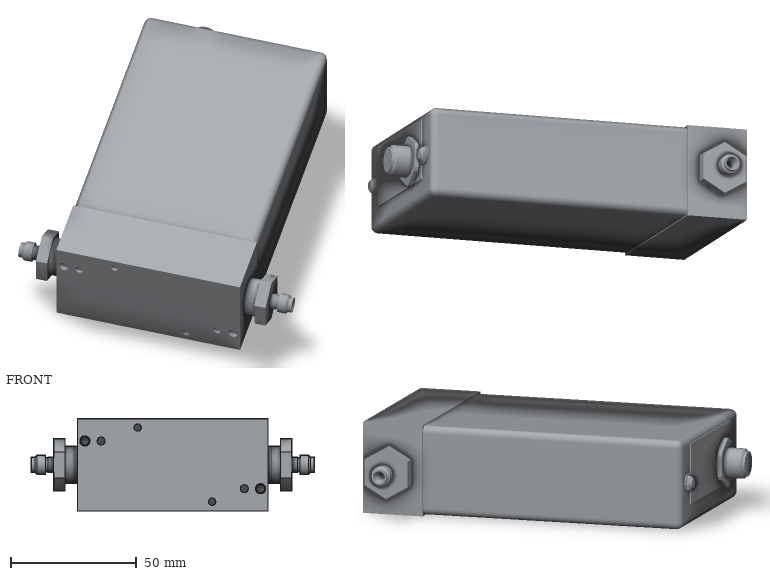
import cadquery as cq
import math

BLOCK_WIDTH = 75.9
BLOCK_DEPTH = 25.0
BLOCK_HEIGHT = 36.9

COVER_SIDE_INSET = 0.3
COVER_TOP_INSET = 0.5
COVER_REAR_Y = 133.0
COVER_ROUNDING = 2.7

THREADED_HOLES = [(-35.0, 9.5), (35.0, -9.5)]
DOWEL_HOLES = [(-28.5, 9.5), (28.5, -9.5)]
SMALL_HOLES = [(-14.0, 14.8), (15.7, -14.7)]
HOLE_DEPTH = 8.6
THREAD_DIAMETER = 4.0
TAPPING_DIAMETER = 3.2
DRILL_TIP_ANGLE = 118
DOWEL_DIAMETER = 3.2
SMALL_DIAMETER = 2.9

FITTING_Y = 12.7
FITTING_LENGTH = 18.5
NECK_RADIUS = 7.5
NECK_END_RADIUS = 7.3
NECK_TAPER_LENGTH = 1.3
FITTING_HEX_START = 4.9
FITTING_HEX_END = 9.5
TUBE_RADIUS = 3.0
GROOVE_RADIUS = 2.9
GROOVE_START = 11.8
COLLAR_START = 12.8
COLLAR_END = 16.1
COLLAR_RADIUS = 3.9
TIP_START = 17.0
BORE_RADIUS = 1.2
BORE_MOUTH_RADIUS = 2.5
BORE_CONE_DEPTH = 4.3
BORE_DEPTH = 8.6

HEX_ACROSS_FLATS = 18.0

PLATE_THICKNESS = 0.6
PLATE_HALF_WIDTH = 26.2
PLATE_TOP_Z = 15.3
PLATE_BOTTOM_Z = -9.4
PLATE_EAR_RADIUS = 3.5

SCREW_X = 30.0
SCREW_RADIUS = 2.9
SCREW_RIM_RADIUS = 1.9
SCREW_KNURL_HEIGHT = 1.3
SCREW_HEAD_HEIGHT = 2.2
KNURL_COUNT = 18
KNURL_DEPTH = 0.3

CONNECTOR_X = -16.0
CONNECTOR_END_Y = 144.0
SHELL_RADIUS = 6.0
SHELL_END_Y = 143.2
SHELL_CHAMFER = 0.7
INSERT_RADIUS = 5.0
NUT_FRONT_Y = 135.7
NUT_CORNER_RADIUS = 10.0
NUT_CHAMFER_RADIAL = 1.2
NUT_CHAMFER_AXIAL = 0.6

PLATE_REAR_Y = COVER_REAR_Y + PLATE_THICKNESS


def rear_plane(x, y):
    """Sketch plane facing +Y whose local y axis is Z and local x axis is -X."""
    return cq.Plane(origin=(x, y, 0), xDir=(-1, 0, 0), normal=(0, 1, 0))


def hexagon_corner_diameter():
    return HEX_ACROSS_FLATS / math.cos(math.pi / 6)


def upright_hexagon(plane, height):
    """Hexagonal prism with two of its corners on the local y axis."""
    prism = cq.Workplane(plane).transformed(rotate=(0, 0, 90))
    return prism.polygon(6, hexagon_corner_diameter()).extrude(height)


def plain_holes(points, diameter):
    sketch = cq.Workplane("XZ").pushPoints(points)
    return sketch.circle(diameter / 2).extrude(-HOLE_DEPTH)


def threaded_hole(x, z):
    """Countersunk tapping hole with a conical drill tip."""
    tap = TAPPING_DIAMETER / 2
    mouth = THREAD_DIAMETER / 2
    tip_length = tap / math.tan(math.radians(DRILL_TIP_ANGLE / 2))
    half_section = [
        (0, 0),
        (mouth, 0),
        (tap, mouth - tap),
        (tap, HOLE_DEPTH),
        (0, HOLE_DEPTH + tip_length),
    ]
    hole = cq.Workplane("XY").polyline(half_section).close()
    return hole.revolve(360, (0, 0), (0, 1)).translate((x, 0, z))


def make_block():
    block = cq.Workplane("XY").box(
        BLOCK_WIDTH, BLOCK_DEPTH, BLOCK_HEIGHT, centered=(True, False, True)
    )
    block = block.cut(plain_holes(DOWEL_HOLES, DOWEL_DIAMETER))
    block = block.cut(plain_holes(SMALL_HOLES, SMALL_DIAMETER))
    for x, z in THREADED_HOLES:
        block = block.cut(threaded_hole(x, z))
    return block


def make_cover():
    cover = cq.Workplane("XY").box(
        BLOCK_WIDTH - 2 * COVER_SIDE_INSET,
        COVER_REAR_Y - BLOCK_DEPTH,
        BLOCK_HEIGHT - 2 * COVER_TOP_INSET,
        centered=(True, False, True),
    )
    cover = cover.translate((0, BLOCK_DEPTH, 0))
    return cover.edges("|Y or >Y").fillet(COVER_ROUNDING)


def make_fitting(side):
    """Tube fitting on the +X (side = 1) or -X (side = -1) face of the block."""
    half_section = [
        (0, 0),
        (0, NECK_END_RADIUS),
        (NECK_TAPER_LENGTH, NECK_RADIUS),
        (FITTING_HEX_START, NECK_RADIUS),
        (FITTING_HEX_START, TUBE_RADIUS),
        (GROOVE_START, TUBE_RADIUS),
        (GROOVE_START, GROOVE_RADIUS),
        (COLLAR_START, GROOVE_RADIUS),
        (COLLAR_START, COLLAR_RADIUS),
        (COLLAR_END, COLLAR_RADIUS),
        (TIP_START, TUBE_RADIUS),
        (FITTING_LENGTH, TUBE_RADIUS),
        (FITTING_LENGTH, BORE_MOUTH_RADIUS),
        (FITTING_LENGTH - BORE_CONE_DEPTH, BORE_RADIUS),
        (FITTING_LENGTH - BORE_DEPTH, BORE_RADIUS),
        (FITTING_LENGTH - BORE_DEPTH, 0),
    ]
    turned = cq.Workplane("XY").polyline(half_section).close().revolve(360, (0, 0), (1, 0))
    hex_plane = cq.Plane(origin=(FITTING_HEX_START, 0, 0), xDir=(0, 1, 0), normal=(1, 0, 0))
    fitting = turned.union(upright_hexagon(hex_plane, FITTING_HEX_END - FITTING_HEX_START))
    if side < 0:
        fitting = fitting.mirror("YZ")
    return fitting.translate((side * BLOCK_WIDTH / 2, FITTING_Y, 0))


def make_plate():
    """Thin rear plate with an ear under each screw and a hole for the connector."""
    plate = (
        cq.Workplane(rear_plane(0, COVER_REAR_Y))
        .center(0, (PLATE_TOP_Z + PLATE_BOTTOM_Z) / 2)
        .rect(2 * PLATE_HALF_WIDTH, PLATE_TOP_Z - PLATE_BOTTOM_Z)
        .extrude(PLATE_THICKNESS)
    )
    ears = (
        cq.Workplane(rear_plane(0, COVER_REAR_Y))
        .slot2D(2 * (SCREW_X + PLATE_EAR_RADIUS), 2 * PLATE_EAR_RADIUS)
        .extrude(PLATE_THICKNESS)
    )
    connector_hole = (
        cq.Workplane(rear_plane(CONNECTOR_X, COVER_REAR_Y)).circle(SHELL_RADIUS).extrude(PLATE_THICKNESS)
    )
    return plate.union(ears).cut(connector_hole)


def make_screw(x):
    """Knurled screw head with a conical top, seated on the plate."""
    outline = []
    for i in range(2 * KNURL_COUNT):
        angle = math.pi * i / KNURL_COUNT
        radius = SCREW_RADIUS - KNURL_DEPTH * (i % 2)
        outline.append((radius * math.cos(angle), radius * math.sin(angle)))
    head = cq.Workplane(rear_plane(x, PLATE_REAR_Y)).polyline(outline).close().extrude(SCREW_KNURL_HEIGHT)
    top_radius = SCREW_RADIUS - KNURL_DEPTH
    top = (
        cq.Workplane(rear_plane(x, PLATE_REAR_Y + SCREW_KNURL_HEIGHT))
        .circle(top_radius)
        .workplane(offset=SCREW_HEAD_HEIGHT - SCREW_KNURL_HEIGHT)
        .circle(SCREW_RIM_RADIUS)
        .loft()
    )
    return head.union(top)


def make_nut():
    """Hexagon nut with rounded corners, chamfered on the side facing the plate."""
    thickness = NUT_FRONT_Y - PLATE_REAR_Y
    plane = rear_plane(CONNECTOR_X, PLATE_REAR_Y)
    envelope = cq.Workplane(plane).circle(NUT_CORNER_RADIUS).extrude(thickness)
    envelope = envelope.faces("<Y").chamfer(NUT_CHAMFER_AXIAL, NUT_CHAMFER_RADIAL)
    bore = cq.Workplane(plane).circle(SHELL_RADIUS).extrude(thickness)
    return upright_hexagon(plane, thickness).intersect(envelope).cut(bore)


def make_connector_shell():
    plane = rear_plane(CONNECTOR_X, COVER_REAR_Y)
    length = SHELL_END_Y - COVER_REAR_Y
    shell = cq.Workplane(plane).circle(SHELL_RADIUS).extrude(length)
    shell = shell.faces(">Y").chamfer(SHELL_CHAMFER)
    return shell.cut(cq.Workplane(plane).circle(INSERT_RADIUS).extrude(length))


def make_connector_insert():
    plane = rear_plane(CONNECTOR_X, COVER_REAR_Y)
    return cq.Workplane(plane).circle(INSERT_RADIUS).extrude(CONNECTOR_END_Y - COVER_REAR_Y)


block = make_block()
cover = make_cover()
fittings = [make_fitting(side) for side in (-1, 1)]
plate = make_plate()
screws = [make_screw(side * SCREW_X) for side in (-1, 1)]
nut = make_nut()
connector_shell = make_connector_shell()
connector_insert = make_connector_insert()

result = cq.Compound.makeCompound([
    block.val(),
    cover.val(),
    *[fitting.val() for fitting in fittings],
    plate.val(),
    *[screw.val() for screw in screws],
    nut.val(),
    connector_shell.val(),
    connector_insert.val(),
])